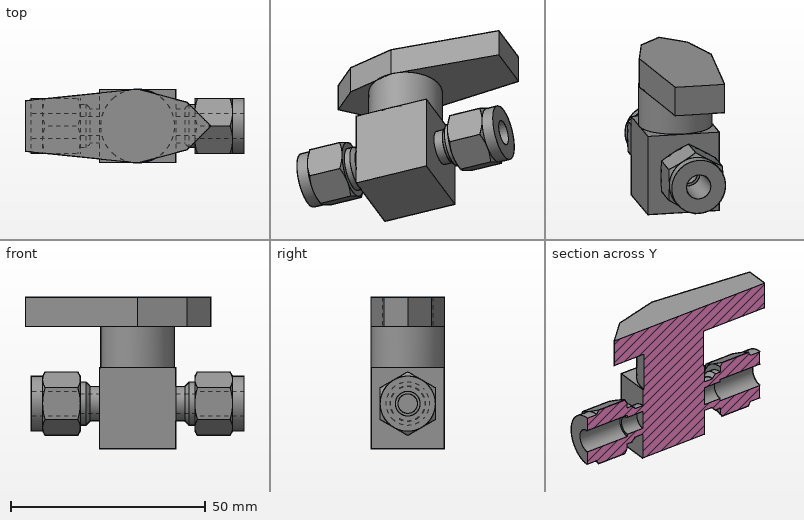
import cadquery as cq
import math

body_length = 19.7
body_width = 18.9
body_height = 21.0

post_diameter = 19.05
post_height = 10.55
handle_thickness = 7.6
handle_width = post_diameter
handle_grip_end = -28.9
handle_grip_width = 13.1
handle_shoulder_x = 12.75
handle_shoulder_width = 12.3

port_height = 11.7
fitting_end = 27.45
nut_inner_face = 14.8
nut_outer_face = 24.5
nut_sides = 6
nut_across_flats = 14.2
nut_chamfer_angle = 30
collar_diameter = nut_across_flats
neck_diameter = 8.85
flange_start = 12.25
flange_diameter = 11.15
flange_chamfer = 1.0

socket_diameter = 6.4
socket_end = nut_inner_face
passage_diameter = 5.0
passage_end = body_length / 2


def port_cylinder(diameter, start, end):
    """Cylinder on the +X port axis between two X positions."""
    plane = cq.Workplane("YZ", origin=(start, 0, port_height))
    return plane.circle(diameter / 2).extrude(end - start)


def make_handle():
    """Flat handle: tapered grip, widest over the stem, with a 45 degree pointed tip."""
    half_shoulder = handle_shoulder_width / 2
    tip_x = handle_shoulder_x + half_shoulder
    upper_edge = [
        (handle_grip_end, handle_grip_width / 2),
        (0, handle_width / 2),
        (handle_shoulder_x, half_shoulder),
    ]
    lower_edge = [(x, -y) for x, y in reversed(upper_edge)]
    outline = upper_edge + [(tip_x, 0)] + lower_edge
    plane = cq.Workplane("XY").workplane(offset=body_height + post_height)
    return plane.polyline(outline).close().extrude(handle_thickness)


def make_nut():
    """Hexagon with corners up and down, its corners turned off by a cone at both ends."""
    nut_length = nut_outer_face - nut_inner_face
    corner_diameter = nut_across_flats / math.cos(math.pi / nut_sides)
    plane = cq.Workplane("YZ", origin=(nut_inner_face, 0, port_height))
    hexagon = (
        plane.transformed(rotate=(0, 0, 90))
        .polygon(nut_sides, corner_diameter)
        .extrude(nut_length)
    )
    chamfer_radial = (corner_diameter - collar_diameter) / 2
    chamfer_axial = chamfer_radial * math.tan(math.radians(nut_chamfer_angle))
    profile = [
        (nut_inner_face, 0),
        (nut_inner_face, collar_diameter / 2),
        (nut_inner_face + chamfer_axial, corner_diameter / 2),
        (nut_outer_face - chamfer_axial, corner_diameter / 2),
        (nut_outer_face, collar_diameter / 2),
        (nut_outer_face, 0),
    ]
    turned_blank = (
        cq.Workplane("XZ", origin=(0, 0, port_height))
        .polyline(profile)
        .close()
        .revolve(360, (0, 0, 0), (1, 0, 0))
    )
    return hexagon.intersect(turned_blank)


def make_fitting():
    """Neck, chamfered flange, hexagon nut and end collar of the +X port."""
    neck = port_cylinder(neck_diameter, 0, nut_inner_face)
    flange = (
        port_cylinder(flange_diameter, flange_start, nut_outer_face)
        .faces("<X")
        .chamfer(flange_chamfer)
    )
    collar = port_cylinder(collar_diameter, nut_outer_face, fitting_end)
    return neck.union(flange).union(make_nut()).union(collar)


def make_bore():
    """Tube socket with a narrower blind passage behind it in the +X port."""
    socket = port_cylinder(socket_diameter, socket_end, fitting_end)
    passage = port_cylinder(passage_diameter, passage_end, fitting_end)
    return socket.union(passage)


body = cq.Workplane("XY").box(body_length, body_width, body_height, centered=(True, True, False))
post = (
    cq.Workplane("XY")
    .workplane(offset=body_height)
    .circle(post_diameter / 2)
    .extrude(post_height)
)
fitting = make_fitting()
bore = make_bore()

result = body.union(post).union(make_handle())
result = result.union(fitting).union(fitting.mirror("YZ"))
result = result.cut(bore).cut(bore.mirror("YZ"))